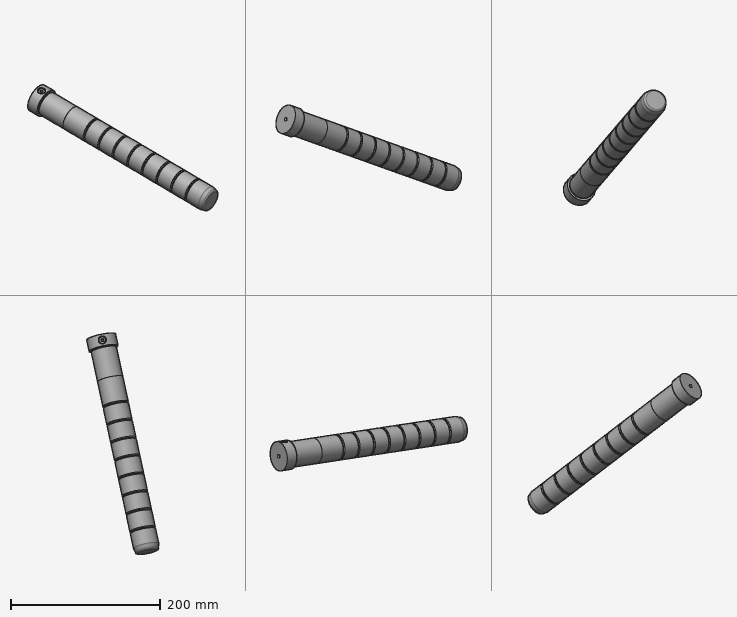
import cadquery as cq
import math

total_length = 300.0
head_length = 16.0
head_radius = 20.0
body_radius = 17.5

neck_width = 1.5
neck_depth = 0.5

mount_end = 59.0
mount_oversize = 0.01

groove_count = 8
groove_pitch = 25.0
first_groove_center = 95.0
groove_width = 3.0
groove_depth = 0.8

taper_length = 5.5
tip_radius = 2.5
taper_angle = 15.0

center_mouth_diameter = 5.0
center_pilot_diameter = 2.0
center_pilot_depth = 6.0
center_angle = 60.0

screw_x = 8.0
screw_mouth_diameter = 11.0
screw_seat_diameter = 9.0
screw_diameter = 4.0
screw_depth = 10.0
screw_mouth_depth = 0.8
screw_seat_depth = 1.8
drill_point_angle = 118.0


def make_pin():
    """Revolve the stepped outline of head, neck, body and lead-in about X."""
    neck_end = head_length + neck_width
    neck_radius = body_radius - neck_depth
    mount_radius = body_radius + mount_oversize
    taper_start = total_length - tip_radius - taper_length
    taper_end = total_length - tip_radius
    taper_radius = body_radius - taper_length * math.tan(math.radians(taper_angle))
    face_radius = taper_radius - tip_radius
    arc_offset = tip_radius * math.sqrt(0.5)
    arc_middle = (taper_end + arc_offset, face_radius + arc_offset)
    return (
        cq.Workplane("XZ")
        .lineTo(0, head_radius)
        .lineTo(head_length, head_radius)
        .lineTo(head_length, neck_radius)
        .lineTo(neck_end, neck_radius)
        .lineTo(neck_end, mount_radius)
        .lineTo(mount_end, mount_radius)
        .lineTo(mount_end, body_radius)
        .lineTo(taper_start, body_radius)
        .lineTo(taper_end, taper_radius)
        .threePointArc(arc_middle, (total_length, face_radius))
        .lineTo(total_length, 0)
        .close()
        .revolve(360, (0, 0, 0), (1, 0, 0))
    )


def make_groove(center):
    """Ring of V-shaped cross-section that cuts one lubrication groove."""
    half_width = groove_width / 2
    return (
        cq.Workplane("XZ")
        .moveTo(center - half_width, body_radius)
        .lineTo(center, body_radius - groove_depth)
        .lineTo(center + half_width, body_radius)
        .close()
        .revolve(360, (0, 0, 0), (1, 0, 0))
    )


def make_center_drilling():
    """Pilot hole with a conical mouth in the head face."""
    mouth_radius = center_mouth_diameter / 2
    pilot_radius = center_pilot_diameter / 2
    cone_depth = (mouth_radius - pilot_radius) / math.tan(math.radians(center_angle / 2))
    return (
        cq.Workplane("XZ")
        .lineTo(0, mouth_radius)
        .lineTo(cone_depth, pilot_radius)
        .lineTo(center_pilot_depth, pilot_radius)
        .lineTo(center_pilot_depth, 0)
        .close()
        .revolve(360, (0, 0, 0), (1, 0, 0))
    )


def make_screw_hole():
    """Blind vertical hole with a chamfered mouth, a flat seat and a drill-point bottom."""
    mouth_radius = screw_mouth_diameter / 2
    seat_radius = screw_seat_diameter / 2
    hole_radius = screw_diameter / 2
    mouth_bottom = head_radius - screw_mouth_depth
    seat_level = head_radius - screw_seat_depth
    hole_bottom = head_radius - screw_depth
    point_depth = hole_radius / math.tan(math.radians(drill_point_angle / 2))
    return (
        cq.Workplane("XZ", origin=(screw_x, 0, 0))
        .moveTo(0, head_radius)
        .lineTo(-mouth_radius, head_radius)
        .lineTo(-mouth_radius, mouth_bottom)
        .lineTo(-seat_radius, seat_level)
        .lineTo(-hole_radius, seat_level)
        .lineTo(-hole_radius, hole_bottom)
        .lineTo(0, hole_bottom - point_depth)
        .close()
        .revolve(360, (0, 0, 0), (0, 1, 0))
    )


result = make_pin().cut(make_center_drilling()).cut(make_screw_hole())
for index in range(groove_count):
    result = result.cut(make_groove(first_groove_center + index * groove_pitch))